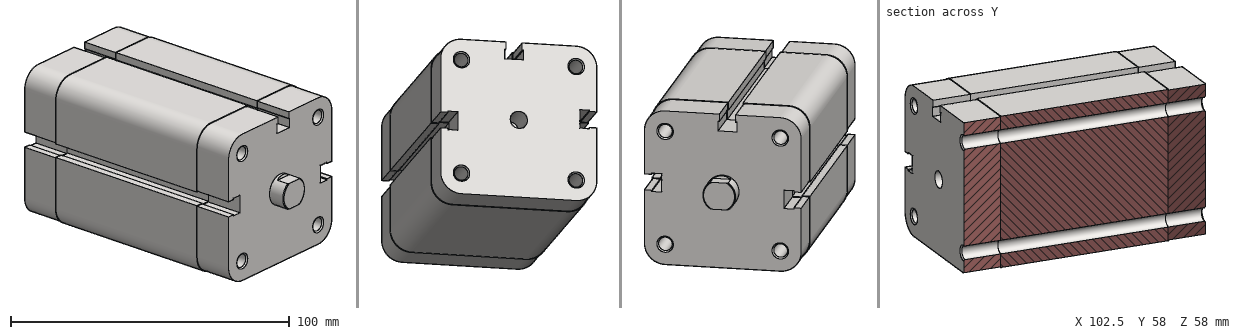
import cadquery as cq

total_length = 102.5
cap_length = 14.8
rod_length = 6.6
tube_length = total_length - 2 * cap_length - rod_length
tube_start = cap_length
front_cap_start = tube_start + tube_length
rod_start = front_cap_start + cap_length

tube_side = 58.0
cap_inset = 0.26
cap_side = tube_side - 2 * cap_inset
tube_corner_radius = 7.9
cap_corner_radius = tube_corner_radius - cap_inset

slot_offset = 1.7
slot_depth = 6.6
slot_neck_depth = 3.0
tube_slot_neck_width = 5.3
tube_slot_wide_width = 6.3
slot_clearance = 0.3
cap_slot_neck_width = tube_slot_neck_width + 2 * slot_clearance
cap_slot_wide_width = tube_slot_wide_width + 2 * slot_clearance
slot_angles = (0, 90, -90)

bolt_hole_diameter = 5.0
bolt_hole_chamfer = 0.5
bolt_spacing = tube_side - 2 * tube_corner_radius
port_diameter = 6.4

rod_diameter = 12.0
rod_flat_width = 10.0
rod_collar_length = 1.1
rod_flat_runout = 0.3
rod_chamfer = 0.3


def square_block(start, length, side, corner_radius):
    """Block along X with rounded long edges."""
    block = cq.Workplane("YZ").workplane(offset=start).rect(side, side).extrude(length)
    return block.edges("|X").fillet(corner_radius)


def slot_layer(start, length, width, depth):
    """Straight cutter reaching from the top tube face down to the given depth."""
    return (
        cq.Workplane("YZ")
        .workplane(offset=start)
        .center(slot_offset, (tube_side - depth) / 2)
        .rect(width, depth)
        .extrude(length)
    )


def t_slot(start, length, neck_width, wide_width):
    """Cutter for the slot in the top face: a wide floor below a narrower neck."""
    neck = slot_layer(start, length, neck_width, slot_depth)
    above_floor = slot_layer(start, length, wide_width, slot_neck_depth)
    floor = slot_layer(start, length, wide_width, slot_depth).cut(above_floor)
    return neck.union(floor)


def cut_slots(body, start, length, neck_width, wide_width):
    """Slots in the top and both Y faces, each the top slot turned about X."""
    slot = t_slot(start, length, neck_width, wide_width)
    for angle in slot_angles:
        body = body.cut(slot.rotate((0, 0, 0), (1, 0, 0), angle))
    return body


def cut_bolt_holes(body):
    """Four through holes, concentric with the rounded corners."""
    return (
        body.faces("<X")
        .workplane(origin=(0, 0, 0))
        .rect(bolt_spacing, bolt_spacing, forConstruction=True)
        .vertices()
        .hole(bolt_hole_diameter)
    )


def chamfer_bolt_holes(cap, outer_face):
    """Chamfer the bolt hole mouths on the outer face of a cap."""
    smallest_circles = cq.selectors.RadiusNthSelector(0)
    mouths = cap.faces(outer_face).edges("%CIRCLE").edges(smallest_circles)
    return mouths.chamfer(bolt_hole_chamfer)


def make_cap(start, outer_face):
    """End cap with the slots and chamfered bolt holes that both caps share."""
    cap = square_block(start, cap_length, cap_side, cap_corner_radius)
    cap = cut_slots(cap, start, cap_length, cap_slot_neck_width, cap_slot_wide_width)
    cap = cut_bolt_holes(cap)
    return chamfer_bolt_holes(cap, outer_face)


def make_rear_cap():
    """End cap with a central port through it, closed by the tube."""
    cap = make_cap(0, "<X")
    return cap.faces("<X").workplane(origin=(0, 0, 0)).hole(port_diameter)


def make_front_cap():
    return make_cap(front_cap_start, ">X")


def make_tube():
    tube = square_block(tube_start, tube_length, tube_side, tube_corner_radius)
    tube = cut_slots(tube, tube_start, tube_length, tube_slot_neck_width, tube_slot_wide_width)
    return cut_bolt_holes(tube)


def rod_flat_cutter():
    """Cutter above the upper flat, with a sloped wall where the flat meets the collar."""
    collar_end = rod_start + rod_collar_length
    outline = [
        (collar_end, rod_diameter / 2),
        (collar_end + rod_flat_runout, rod_flat_width / 2),
        (total_length, rod_flat_width / 2),
        (total_length, rod_diameter / 2),
    ]
    return cq.Workplane("XZ").polyline(outline).close().extrude(rod_diameter / 2, both=True)


def make_rod():
    """Round rod end on the front cap, with flats above and below."""
    rod = (
        cq.Workplane("YZ")
        .workplane(offset=rod_start)
        .circle(rod_diameter / 2)
        .extrude(rod_length)
        .faces(">X")
        .chamfer(rod_chamfer)
    )
    return rod.cut(rod_flat_cutter()).cut(rod_flat_cutter().mirror("XY"))


rear_cap = make_rear_cap()
tube = make_tube()
front_cap = make_front_cap()
rod = make_rod()

result = cq.Compound.makeCompound(
    [rear_cap.val(), tube.val(), front_cap.val(), rod.val()]
)